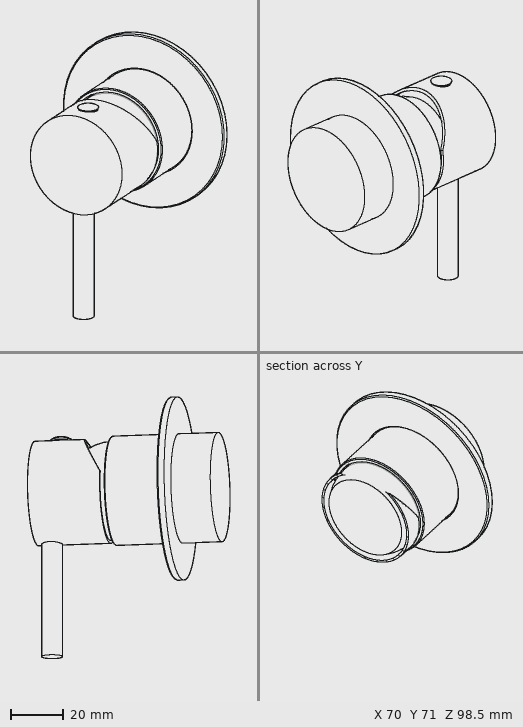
import cadquery as cq
import math


sleeve_radius = 20.9
sleeve_length = 41.2
rim_chamfer = 0.4

dome_radius = 18.9
dome_length = 8.9
cartridge_clearance = 0.5
recess_radius = dome_radius + cartridge_clearance
recess_depth = 9.85

flange_radius = 35.0
flange_back = 15.3
flange_thickness = 2.9
flange_chamfer = 0.5

head_radius = 20.0
head_wall = 1.1
head_back = 43.0
head_front = 71.0
slant_start_height = 4.1
slant_end = 52.1

button_center = 61.6
button_radius = 4.0
button_stem_radius = 3.7
button_rim_height = 20.5
button_top_height = 21.8
button_seat_height = 19.0

lever_center = 65.1
lever_radius = 4.0
lever_bottom = -63.5
lever_top = -17.7


def cylinder_along_y(radius, start, end):
    """Cylinder on the main axis between two distances from the back face."""
    plane = cq.Workplane("XZ", origin=(0, -start, 0))
    return plane.circle(radius).extrude(end - start)


def make_sleeve():
    """Cylinder with a round recess in its front face for the cartridge."""
    sleeve = cylinder_along_y(sleeve_radius, 0, sleeve_length)
    sleeve = sleeve.faces("<Y").chamfer(rim_chamfer)
    recess_floor = sleeve_length - recess_depth
    return sleeve.cut(cylinder_along_y(recess_radius, recess_floor, sleeve_length))


def make_cartridge():
    """Cylinder standing on the recess floor, ending in a truncated spherical dome."""
    recess_floor = sleeve_length - recess_depth
    dome_end = sleeve_length + dome_length
    dome_end_radius = math.sqrt(dome_radius**2 - dome_length**2)
    arc_mid_length = dome_length / 2
    arc_mid_radius = math.sqrt(dome_radius**2 - arc_mid_length**2)
    return (
        cq.Workplane("XY")
        .moveTo(0, -recess_floor)
        .lineTo(dome_radius, -recess_floor)
        .lineTo(dome_radius, -sleeve_length)
        .threePointArc((arc_mid_radius, -sleeve_length - arc_mid_length), (dome_end_radius, -dome_end))
        .lineTo(0, -dome_end)
        .close()
        .revolve(360, (0, 0, 0), (0, 1, 0))
    )


def make_flange():
    """Flat ring fitted around the sleeve, chamfered on its outer and inner front edges."""
    flange_front = flange_back + flange_thickness
    disc = cylinder_along_y(flange_radius, flange_back, flange_front)
    ring = disc.cut(cylinder_along_y(sleeve_radius, flange_back, flange_front))
    return ring.faces("<Y").edges().chamfer(flange_chamfer)


def make_button():
    """Domed cap on a short stem, revolved about its vertical axis."""
    arc_height = button_top_height - button_rim_height
    arc_radius = (button_radius**2 + arc_height**2) / (2 * arc_height)
    arc_mid_x = button_radius / 2
    arc_mid_z = button_top_height - arc_radius + math.sqrt(arc_radius**2 - arc_mid_x**2)
    return (
        cq.Workplane("XZ", origin=(0, -button_center, 0))
        .moveTo(0, button_seat_height)
        .lineTo(button_stem_radius, button_seat_height)
        .lineTo(button_stem_radius, head_radius)
        .lineTo(button_radius, button_rim_height)
        .threePointArc((arc_mid_x, arc_mid_z), (0, button_top_height))
        .close()
        .revolve(360, (0, 0, 0), (0, 1, 0))
    )


def make_lever():
    """Straight round rod hanging from the head."""
    plane = cq.Workplane("XY", origin=(0, -lever_center, lever_bottom))
    return plane.circle(lever_radius).extrude(lever_top - lever_bottom)


def make_handle(button):
    """Cup open toward the dome, cut on a slant at the top, with the lever and a button seat."""
    head = cylinder_along_y(head_radius, head_back, head_front)
    head = head.cut(cylinder_along_y(head_radius - head_wall, head_back, slant_end))
    slant = (
        cq.Workplane("YZ")
        .polyline([
            (-head_back, slant_start_height),
            (-slant_end, head_radius),
            (-head_back, head_radius),
        ])
        .close()
        .extrude(head_radius, both=True)
    )
    return head.cut(slant).cut(button).union(make_lever())


sleeve = make_sleeve()
cartridge = make_cartridge()
flange = make_flange()
button = make_button()
handle = make_handle(button)

result = cq.Compound.makeCompound([
    sleeve.val(),
    cartridge.val(),
    flange.val(),
    handle.val(),
    button.val(),
])